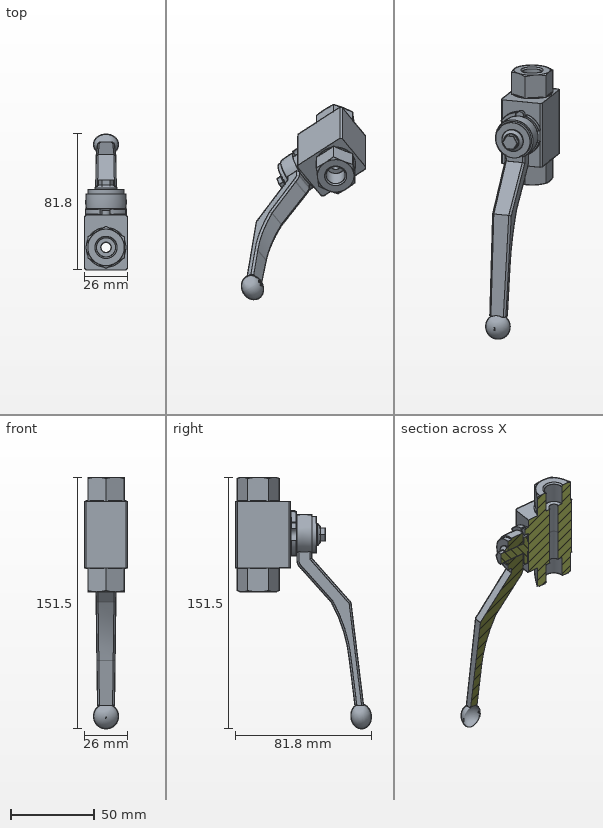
import cadquery as cq
import math


block_width = 26.0
block_height = 40.0
block_back = -13.6
block_face = 19.5
block_edge_chamfer = 1.0

valve_length = 69.0
overall_height = 151.5
hex_flats = 22.0
hex_end_chamfer = 0.8
collar_diameter = 24.0
collar_height = 0.5
flow_bore = 6.0
port_bore = 11.5
port_mouth = 13.3
port_depth = 14.0

pin_diameter = 5.0
pin_radius_from_spindle = 12.0
pin_length = 2.7

running_gap = 0.3
disc_thickness = 3.2
disc_radius = 12.9
notch_radius = 3.6
lug_radius = 14.1
lug_inner_radius = 10.6
lug_end_angle = 33.0
spindle_flats = 8.0
spindle_end = 40.5

hub_width = 9.0
hub_end_radius = 12.0
hub_middle_radius = 12.3
boss_diameter = 22.0
boss_height = 2.7

arm_root_half_width = 6.5
arm_tip_half_width = 5.2
arm_tip_z = -102.9
arm_tip_inner_y = 58.2
arm_tip_outer_y = 63.5
arm_corner = 1.2

knob_y = 62.0
knob_radius = 7.6
knob_z = valve_length / 2 - overall_height + knob_radius
knob_half_thickness = 6.2
knob_tilt = 7.0

washer_diameter = 13.5
washer_rim = 0.8
washer_height = 2.5
washer_top_diameter = 9.7

disc_start = block_face + running_gap
disc_end = disc_start + disc_thickness
hub_start = disc_end + running_gap
hub_end = hub_start + hub_width
boss_end = hub_end + boss_height

inner_bend_start = (hub_start, -16.0)
inner_bend_middle = (24.3, -18.6)
inner_bend_end = (26.0, -20.8)
grip_curve_start = (44.0, -40.8)
grip_curve_middle = (50.6, -56.0)
grip_curve_end = (54.9, -75.8)
outer_elbow = (56.0, -40.9)
outer_bend = (hub_end, -14.2)


def along_y(start):
    """Workplane facing +Y with local X along -X and local Y along Z."""
    return cq.Workplane(cq.Plane(origin=(0, start, 0), xDir=(-1, 0, 0), normal=(0, 1, 0)))


def disc_along_y(diameter, start, end):
    """Cylinder on the spindle axis between two Y positions."""
    return along_y(start).circle(diameter / 2).extrude(end - start)


def hex_spindle(start, end):
    """Hexagonal bar on the spindle axis with flats facing +Z and -Z."""
    across_corners = spindle_flats / math.cos(math.pi / 6)
    return along_y(start).polygon(6, across_corners).extrude(end - start)


def make_port():
    """Upper port: thin round collar and a hexagon with its end corners turned down."""
    base = block_height / 2
    top = valve_length / 2
    corner_radius = hex_flats / 2 / math.cos(math.pi / 6)
    hexagon = (
        cq.Workplane("XY", origin=(0, 0, base))
        .polygon(6, 2 * corner_radius)
        .extrude(top - base)
        .rotate((0, 0, 0), (0, 0, 1), 90)
    )
    turned = (
        cq.Workplane("XZ")
        .moveTo(0, base)
        .lineTo(corner_radius, base)
        .lineTo(corner_radius, top - hex_end_chamfer)
        .lineTo(hex_flats / 2, top)
        .lineTo(0, top)
        .close()
        .revolve(360, (0, 0, 0), (0, 1, 0))
    )
    collar = (
        cq.Workplane("XY", origin=(0, 0, base))
        .circle(collar_diameter / 2)
        .extrude(collar_height)
    )
    return hexagon.intersect(turned).union(collar)


def make_port_bore():
    """Tool for the upper port bore with its countersunk mouth."""
    top = valve_length / 2
    countersink = (port_mouth - port_bore) / 2
    return (
        cq.Workplane("XZ")
        .moveTo(0, top - port_depth)
        .lineTo(port_bore / 2, top - port_depth)
        .lineTo(port_bore / 2, top - countersink)
        .lineTo(port_mouth / 2, top)
        .lineTo(0, top)
        .close()
        .revolve(360, (0, 0, 0), (0, 1, 0))
    )


def make_housing():
    """Block, two ports, straight flow bore and stop pin."""
    housing = (
        cq.Workplane("XY")
        .box(block_width, block_face - block_back, block_height)
        .translate((0, (block_face + block_back) / 2, 0))
        .edges("|Z")
        .chamfer(block_edge_chamfer)
    )
    port = make_port()
    port_bore_tool = make_port_bore()
    housing = housing.union(port).union(port.mirror("XY"))
    housing = housing.cut(port_bore_tool).cut(port_bore_tool.mirror("XY"))
    through_bore = cq.Workplane("XY").circle(flow_bore / 2).extrude(valve_length / 2, both=True)
    housing = housing.cut(through_bore)
    pin = disc_along_y(pin_diameter, block_face, block_face + pin_length)
    return housing.union(pin.translate((0, 0, pin_radius_from_spindle)))


def make_stop_lug():
    """Raised sector of the stop disc that rests against the pin."""
    side = pin_diameter / 2
    start_angle = math.acos(side / lug_radius)
    end_angle = math.radians(lug_end_angle)
    middle_angle = (start_angle + end_angle) / 2

    def on_circle(radius, angle):
        return (-radius * math.cos(angle), radius * math.sin(angle))

    return (
        along_y(disc_start)
        .moveTo(-side, math.sqrt(lug_inner_radius ** 2 - side ** 2))
        .lineTo(*on_circle(lug_radius, start_angle))
        .threePointArc(on_circle(lug_radius, middle_angle), on_circle(lug_radius, end_angle))
        .lineTo(*on_circle(lug_inner_radius, end_angle))
        .close()
        .extrude(disc_thickness)
    )


def make_spindle():
    """Hexagonal spindle and its notched stop disc."""
    disc = disc_along_y(2 * disc_radius, disc_start, disc_end)
    top_notch = disc_along_y(2 * notch_radius, disc_start, disc_end).translate((0, 0, pin_radius_from_spindle))
    for turn in (-90, 0, 90):
        disc = disc.cut(top_notch.rotate((0, 0, 0), (0, 1, 0), turn))
    return disc.union(make_stop_lug()).union(hex_spindle(block_face, spindle_end))


def make_hub():
    """Barrel-shaped hub with a round boss on its outer end."""
    barrel = (
        cq.Workplane("XY")
        .moveTo(0, hub_start)
        .lineTo(hub_end_radius, hub_start)
        .threePointArc((hub_middle_radius, (hub_start + hub_end) / 2), (hub_end_radius, hub_end))
        .lineTo(0, hub_end)
        .close()
        .revolve(360, (0, 0, 0), (0, 1, 0))
    )
    return barrel.union(disc_along_y(boss_diameter, hub_end, boss_end))


def is_long_arm_edge(edge):
    """True for edges that run along the arm on its two sides."""
    box = edge.BoundingBox()
    on_one_side = box.xmin > 0 or box.xmax < 0
    return on_one_side and box.zlen > arm_corner


def make_arm():
    """Cranked arm: a side outline in YZ, tapered in X, with chamfered long edges."""
    side = (
        cq.Workplane("YZ")
        .moveTo(hub_start, 0)
        .lineTo(*inner_bend_start)
        .threePointArc(inner_bend_middle, inner_bend_end)
        .lineTo(*grip_curve_start)
        .threePointArc(grip_curve_middle, grip_curve_end)
        .lineTo(arm_tip_inner_y, arm_tip_z)
        .lineTo(arm_tip_outer_y, arm_tip_z)
        .lineTo(*outer_elbow)
        .lineTo(*outer_bend)
        .lineTo(hub_end, 0)
        .close()
        .extrude(arm_root_half_width, both=True)
    )
    taper = (
        cq.Workplane("XZ")
        .moveTo(-arm_root_half_width, 0)
        .lineTo(-arm_tip_half_width, arm_tip_z)
        .lineTo(arm_tip_half_width, arm_tip_z)
        .lineTo(arm_root_half_width, 0)
        .close()
        .extrude(-knob_y - knob_radius)
    )
    arm = side.intersect(taper)
    long_edges = [edge for edge in arm.edges().vals() if is_long_arm_edge(edge)]
    return arm.newObject(long_edges).chamfer(arm_corner)


def make_knob():
    """Flattened ball at the tip of the arm."""
    return (
        cq.Workplane("XY")
        .moveTo(0, -knob_half_thickness)
        .ellipseArc(knob_radius, knob_half_thickness, -90, 90, startAtCurrent=True)
        .close()
        .revolve(360, (0, 0, 0), (0, 1, 0))
        .rotate((0, 0, 0), (1, 0, 0), knob_tilt)
        .translate((0, knob_y, knob_z))
    )


def make_lever():
    """Hub, arm and knob in one piece, with a hexagonal hole for the spindle."""
    lever = make_hub().union(make_arm()).union(make_knob())
    return lever.cut(hex_spindle(hub_start, boss_end))


def make_washer():
    """Domed lock washer on the boss, pressed over the spindle end."""
    washer = (
        cq.Workplane("XY")
        .moveTo(0, boss_end)
        .lineTo(washer_diameter / 2, boss_end)
        .lineTo(washer_diameter / 2, boss_end + washer_rim)
        .lineTo(washer_top_diameter / 2, boss_end + washer_height)
        .lineTo(0, boss_end + washer_height)
        .close()
        .revolve(360, (0, 0, 0), (0, 1, 0))
    )
    return washer.cut(hex_spindle(boss_end, spindle_end))


housing = make_housing()
spindle = make_spindle()
lever = make_lever()
washer = make_washer()

result = cq.Compound.makeCompound([
    housing.solids().val(),
    spindle.solids().val(),
    lever.solids().val(),
    washer.solids().val(),
])